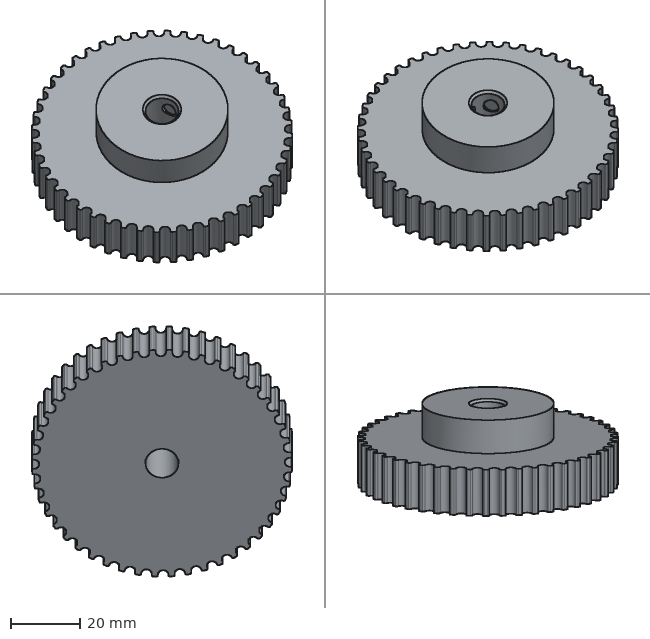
import cadquery as cq
import math

overall_width = 75.15
tooth_count = 48
rim_height = 13.8
groove_depth = 2.1
groove_radius = 1.5
tip_rounding = 0.5
cut_clearance = 0.75

hub_diameter = 38.1
hub_height = 10.0
bore_diameter = 9.55
bore_chamfer = 0.75

pocket_diameter = 4.5
pocket_height = 4.65
pocket_floor = 5.25
pocket_directions = [cq.Vector(1, 0, 0), cq.Vector(0, 1, 0)]

land_start = groove_radius + tip_rounding
land_level = overall_width / 2
tip_radius = math.hypot(land_level, land_start)
total_height = rim_height + hub_height


def groove_cutter(angle):
    """Prism of one U-shaped groove with rounded mouth corners, open at the given angle."""
    root_level = land_level - groove_depth
    center_level = root_level + groove_radius
    wall_top = land_level - tip_rounding
    arc_inset = tip_rounding * (1 - math.sqrt(0.5))
    beyond_tip = tip_radius + cut_clearance
    return (
        cq.Workplane("XY")
        .moveTo(beyond_tip, -land_start)
        .lineTo(land_level, -land_start)
        .threePointArc((land_level - arc_inset, -groove_radius - arc_inset), (wall_top, -groove_radius))
        .lineTo(center_level, -groove_radius)
        .threePointArc((root_level, 0), (center_level, groove_radius))
        .lineTo(wall_top, groove_radius)
        .threePointArc((land_level - arc_inset, groove_radius + arc_inset), (land_level, land_start))
        .lineTo(beyond_tip, land_start)
        .close()
        .extrude(rim_height)
        .rotate((0, 0, 0), (0, 0, 1), angle)
    )


def toothed_rim():
    rim = cq.Workplane("XY").circle(tip_radius).extrude(rim_height)
    grooves = [groove_cutter(360 * i / tooth_count).val() for i in range(tooth_count)]
    return cq.Workplane(rim.val().cut(*grooves))


def hub():
    return cq.Workplane("XY").workplane(offset=rim_height).circle(hub_diameter / 2).extrude(hub_height)


def bore():
    top_radius = bore_diameter / 2 + bore_chamfer
    return (
        cq.Workplane("XZ")
        .polyline([
            (0, 0),
            (bore_diameter / 2, 0),
            (bore_diameter / 2, total_height - bore_chamfer),
            (top_radius, total_height),
            (0, total_height),
        ])
        .close()
        .revolve(360, (0, 0, 0), (0, 1, 0))
    )


def bore_pocket(direction):
    """Cylinder from the bore axis to a flat floor just behind the bore wall."""
    start = cq.Vector(0, 0, rim_height + pocket_height)
    return cq.Workplane(cq.Solid.makeCylinder(pocket_diameter / 2, pocket_floor, start, direction))


result = toothed_rim().union(hub()).cut(bore())
for pocket_direction in pocket_directions:
    result = result.cut(bore_pocket(pocket_direction))